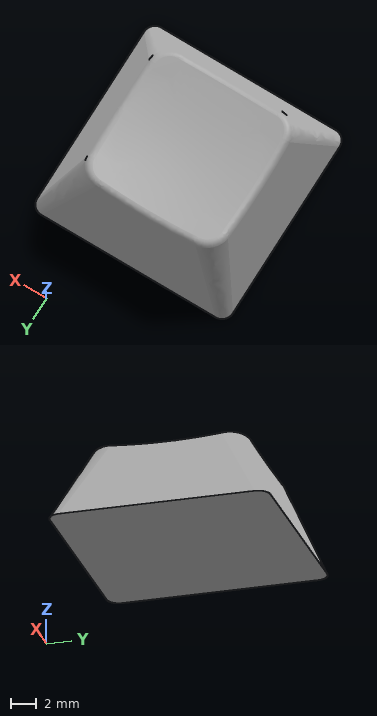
import cadquery as cq

BASE_WIDTH = 18.0
BASE_CORNER_RADIUS = 1.0
BLANK_HEIGHT = 7.5
BLANK_TOP_WIDTH = 12.0
BLANK_TOP_CORNER_RADIUS = 2.0
DISH_RADIUS = 40.0
DISH_BOTTOM_HEIGHT = 6.0
RIM_FILLET = 0.6


def rounded_square(width, corner_radius, height):
    """Outline of a square with rounded corners, centred on Z at the given height."""
    outline = cq.Sketch().rect(width, width).vertices().fillet(corner_radius)
    return outline.moved(cq.Location(cq.Vector(0, 0, height)))


def make_blank():
    """Tapered body lofted from the base outline to the narrower top outline."""
    base = rounded_square(BASE_WIDTH, BASE_CORNER_RADIUS, 0)
    top = rounded_square(BLANK_TOP_WIDTH, BLANK_TOP_CORNER_RADIUS, BLANK_HEIGHT)
    return cq.Workplane("XY").placeSketch(base, top).loft(ruled=True)


def cut_dish(body):
    """Hollow the top with a large sphere centred above the key."""
    sphere_center_height = DISH_BOTTOM_HEIGHT + DISH_RADIUS
    sphere = cq.Workplane("XY").sphere(DISH_RADIUS).translate((0, 0, sphere_center_height))
    return body.cut(sphere)


def round_rim(body):
    """Fillet the edges where the dish meets the tapered sides."""
    return body.faces("%SPHERE").edges().fillet(RIM_FILLET)


result = round_rim(cut_dish(make_blank()))